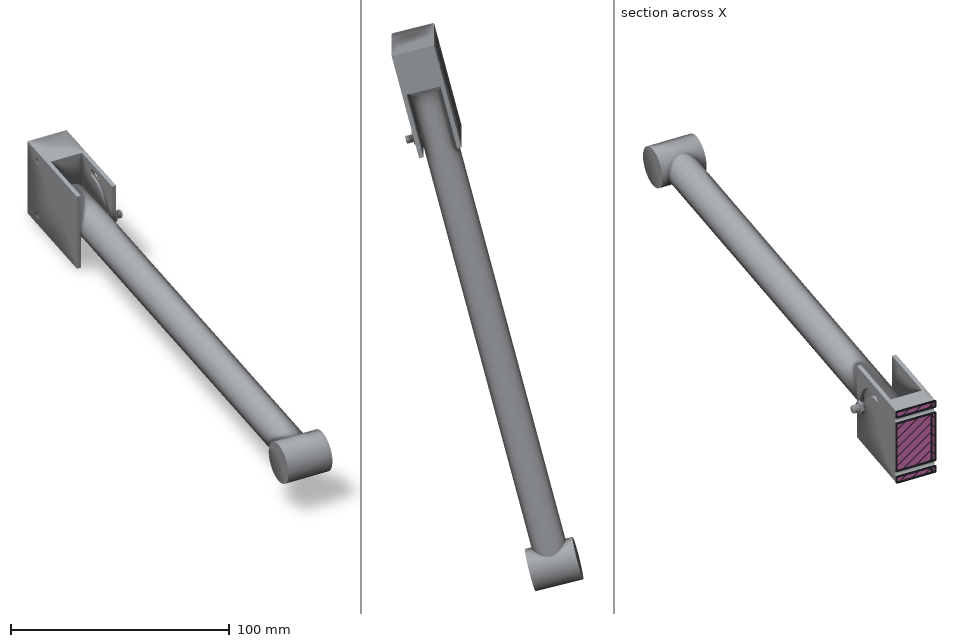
import cadquery as cq
import math

box_length = 50.0
box_height = 40.0
block_length = 19.5
cavity_width = 16.0
rear_plate_thickness = 2.0
cover_thickness = 2.0
rear_inner_y = cavity_width / 2
rear_outer_y = rear_inner_y + rear_plate_thickness
cover_inner_y = -cavity_width / 2

fastener_diameter = 3.0
fastener_x = 10.0
fastener_spacing = 30.0

arm_diameter = cavity_width
arm_start_x = 24.5
head_diameter = 20.0
head_length = 22.5
total_length = 266.5
head_x = total_length - head_diameter / 2

swing_axis_x = 30.25
slot_radius = 15.0
slot_width = 4.0
slot_sweep = 90.0
screw_x = swing_axis_x + slot_radius
screw_diameter = slot_width
screw_tip_y = 15.0
screw_tip_chamfer = 0.5
thread_pitch = 0.7
thread_depth = 0.4
screw_depth = 5.0
nut_across_corners = 6.5
nut_thickness = 1.6


def plate_y(x_start, x_end, y_start, y_end):
    """Full-height plate between two X and two Y limits, centred on Z = 0."""
    return cq.Workplane("XY").box(
        x_end - x_start, y_end - y_start, box_height, centered=(False, False, True)
    ).translate((x_start, y_start, 0))


def cylinder_y(x, y_start, y_end, diameter):
    """Cylinder along Y whose axis passes through (x, z = 0)."""
    return (
        cq.Workplane("XZ", origin=(x, y_start, 0))
        .circle(diameter / 2)
        .extrude(-(y_end - y_start))
    )


def cylinder_x(x_start, x_end, diameter):
    """Cylinder along X centred on Y = Z = 0."""
    return (
        cq.Workplane("YZ", origin=(x_start, 0, 0))
        .circle(diameter / 2)
        .extrude(x_end - x_start)
    )


def fastener_holes():
    """Pair of cutters running through the whole width of the box."""
    return (
        cq.Workplane("XZ", origin=(0, cover_inner_y - cover_thickness, 0))
        .pushPoints([(fastener_x, side * fastener_spacing / 2) for side in (-1, 1)])
        .circle(fastener_diameter / 2)
        .extrude(-(cover_thickness + cavity_width + rear_plate_thickness))
    )


def slot_point(radius, angle):
    """Point (x, z) at a radius and angle about the swing axis."""
    turn = math.radians(angle)
    return (swing_axis_x + radius * math.cos(turn), radius * math.sin(turn))


def guide_slot():
    """Arc-shaped cutter with round ends, through the rear plate."""
    outer = slot_radius + slot_width / 2
    inner = slot_radius - slot_width / 2
    end_angle = math.degrees(slot_width / 2 / slot_radius)
    return (
        cq.Workplane("XZ", origin=(0, rear_inner_y, 0))
        .moveTo(*slot_point(outer, 0))
        .threePointArc(slot_point(outer, slot_sweep / 2), slot_point(outer, slot_sweep))
        .threePointArc(
            slot_point(slot_radius, slot_sweep + end_angle), slot_point(inner, slot_sweep)
        )
        .threePointArc(slot_point(inner, slot_sweep / 2), slot_point(inner, 0))
        .threePointArc(slot_point(slot_radius, -end_angle), slot_point(outer, 0))
        .close()
        .extrude(-rear_plate_thickness)
    )


def make_body(screw):
    """Block and rear plate in one piece, with fastener holes, guide slot and screw clearance."""
    block = plate_y(0, block_length, cover_inner_y, rear_inner_y)
    rear_plate = plate_y(0, box_length, rear_inner_y, rear_outer_y)
    return block.union(rear_plate).cut(fastener_holes()).cut(guide_slot()).cut(screw)


def make_cover():
    """Front cover plate with the fastener holes."""
    cover = plate_y(0, box_length, cover_inner_y - cover_thickness, cover_inner_y)
    return cover.cut(fastener_holes())


def thread_groove(y):
    """Ring with a V-shaped section that cuts one thread groove into the stud, centred at y."""
    surface = screw_diameter / 2
    return (
        cq.Workplane("XY", origin=(screw_x, 0, 0))
        .moveTo(surface, y - thread_pitch / 2)
        .lineTo(surface - thread_depth, y)
        .lineTo(surface, y + thread_pitch / 2)
        .close()
        .revolve(360, (0, 0, 0), (0, 1, 0))
    )


def make_screw():
    """Stud with a chamfered tip, thread grooves and a hexagonal nut resting on the rear plate."""
    stud = cylinder_y(screw_x, rear_inner_y - screw_depth, screw_tip_y, screw_diameter)
    stud = stud.faces(">Y").chamfer(screw_tip_chamfer)
    thread_start_y = rear_outer_y + nut_thickness
    thread_end_y = screw_tip_y - screw_tip_chamfer
    groove_count = math.floor((thread_end_y - thread_start_y) / thread_pitch)
    first_groove_y = thread_end_y - thread_pitch / 2
    for index in range(groove_count):
        stud = stud.cut(thread_groove(first_groove_y - index * thread_pitch))
    nut = (
        cq.Workplane("XZ", origin=(screw_x, rear_outer_y, 0))
        .polygon(6, nut_across_corners)
        .extrude(-nut_thickness)
    )
    return stud.union(nut)


def make_arm_root(screw):
    """Short rod inside the box, with the hole that takes the screw."""
    return cylinder_x(arm_start_x, box_length, arm_diameter).cut(screw)


def make_arm():
    """Rod outside the box ending in a crosswise cylindrical head."""
    rod = cylinder_x(box_length, head_x, arm_diameter)
    return rod.union(cylinder_y(head_x, -head_length / 2, head_length / 2, head_diameter))


screw = make_screw()
body = make_body(screw)
cover = make_cover()
arm_root = make_arm_root(screw)
arm = make_arm()

result = cq.Compound.makeCompound(
    [body.val(), cover.val(), arm_root.val(), arm.val(), screw.val()]
)